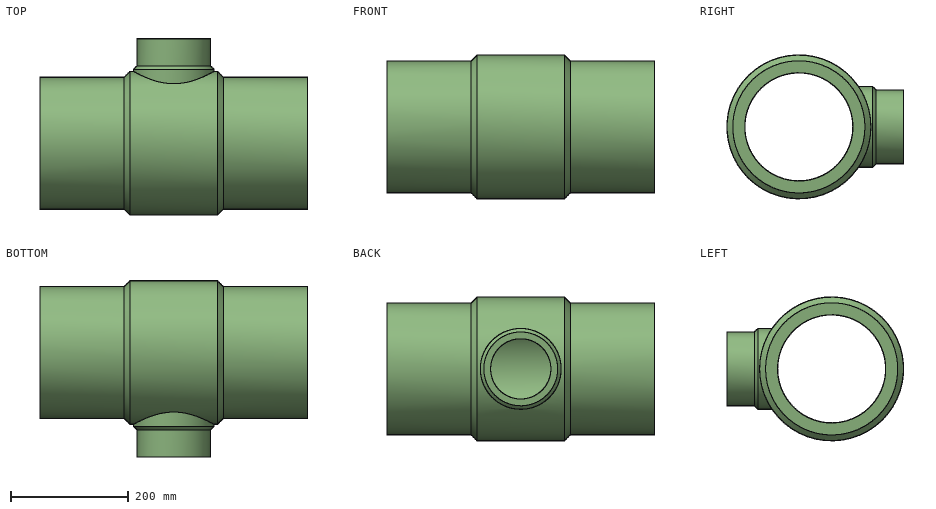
import cadquery as cq

length = 456.0
pipe_diameter = 225.3
bore_diameter = 183.8

collar_diameter = 245.5
collar_width = 168.5
collar_chamfer = (collar_diameter - pipe_diameter) / 2

branch_reach = 301.0 - collar_diameter / 2
branch_diameter = 126.0
branch_bore_diameter = branch_diameter * bore_diameter / pipe_diameter
spigot_length = 46.5
branch_base_diameter = 137.5
branch_chamfer = (branch_base_diameter - branch_diameter) / 2


def cylinder_x(diameter, width):
    """Cylinder along X, centred on the origin."""
    return cq.Workplane("YZ").circle(diameter / 2).extrude(width / 2, both=True)


def cylinder_y(diameter, reach):
    """Cylinder from the main axis out along +Y."""
    return cq.Workplane("XZ").circle(diameter / 2).extrude(-reach)


main_pipe = cylinder_x(pipe_diameter, length)
collar = cylinder_x(collar_diameter, collar_width).edges().chamfer(collar_chamfer)

branch_base = cylinder_y(branch_base_diameter, branch_reach - spigot_length)
branch_base = branch_base.faces(">Y").chamfer(branch_chamfer)
spigot = cylinder_y(branch_diameter, branch_reach)

body = main_pipe.union(collar).union(branch_base).union(spigot)

result = body.cut(cylinder_x(bore_diameter, length)).cut(cylinder_y(branch_bore_diameter, branch_reach))